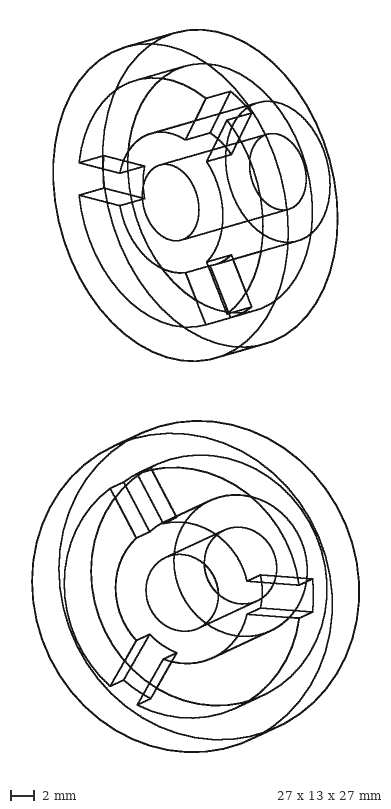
import cadquery as cq

rim_diameter = 27.0
rim_inner_diameter = 21.2
rim_width = 6.0

hub_diameter = 12.0
hub_length = 13.0
bore_diameter = 6.5

spoke_count = 3
spoke_width = 2.8
spoke_depth = 3.0
first_spoke_angle = 60.0


def ring(outer_diameter, inner_diameter, length):
    """Ring around the Y axis, from the front face at Y = 0 toward +Y."""
    profile = cq.Workplane("XZ").circle(outer_diameter / 2).circle(inner_diameter / 2)
    return profile.extrude(-length)


def spoke(angle):
    """Flat bar from hub to rim, its ends buried halfway into both walls."""
    inner_end = (bore_diameter + hub_diameter) / 4
    outer_end = (rim_inner_diameter + rim_diameter) / 4
    bar = cq.Workplane("XY").box(
        outer_end - inner_end, spoke_depth, spoke_width, centered=(False, False, True)
    )
    return bar.translate((inner_end, 0, 0)).rotate((0, 0, 0), (0, 1, 0), angle)


rim = ring(rim_diameter, rim_inner_diameter, rim_width)
hub = ring(hub_diameter, bore_diameter, hub_length)

wheel = rim
for index in range(spoke_count):
    wheel = wheel.union(spoke(first_spoke_angle + index * 360 / spoke_count))

result = wheel.union(hub)